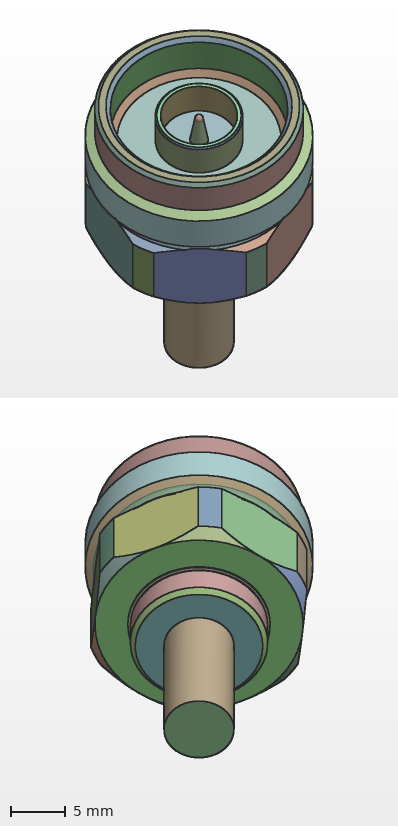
import cadquery as cq
import math

total_height = 32.8
max_radius = 10.4

crimp_radius = 3.2
collar_bottom = 12.95

collar_radius = 6.27
collar_bottom_chamfer_width = 0.45
collar_bottom_chamfer_height = 0.5
collar_top_chamfer = 0.12

hex_across_flats = 19.0
hex_radius = hex_across_flats / 2
hex_bottom = 16.32
hex_bottom_chamfer_width = max_radius - hex_radius
hex_bottom_chamfer_height = 0.95
hex_top_edge = 23.35
hex_top_chamfer_height = 0.4
hex_top_chamfer_width = 0.8

lip_radius = 6.5
lip_bottom = hex_bottom - 0.1

groove_bottom = hex_top_edge + hex_top_chamfer_height
groove_bottom_radius = max_radius - hex_top_chamfer_width
groove_root = 24.25
groove_top = 24.8
groove_top_radius = 9.7
groove_root_radius = 9.35

flange_bottom = 25.2
flange_top = 28.8
sleeve_radius = 9.53
sleeve_bottom = 29.3
sleeve_outer_chamfer = 0.35

socket_radius = 8.1
socket_mouth_chamfer = 0.4
socket_depth = 4.65
socket_floor_chamfer = 0.6
socket_floor = total_height - socket_depth

ring_outer_radius = 4.0
ring_inner_radius = 3.5
ring_top = 31.55
ring_chamfer = 0.15

pin_base_radius = 0.84
pin_tip_radius = 0.38
pin_cone_top = 31.13


def groove_arc_middle():
    """Middle point of the groove arc, which leaves the root parallel to the axis."""
    rise = groove_top - groove_root
    spread = groove_top_radius - groove_root_radius
    arc_radius = (rise ** 2 + spread ** 2) / (2 * spread)
    half_angle = math.asin(rise / arc_radius) / 2
    return (
        groove_root_radius + arc_radius * (1 - math.cos(half_angle)),
        groove_root + arc_radius * math.sin(half_angle),
    )


def make_body():
    """Turned outline of the whole outside, with the hexagon zone still round."""
    profile = (
        cq.Workplane("XZ")
        .lineTo(crimp_radius, 0)
        .lineTo(crimp_radius, collar_bottom)
        .lineTo(collar_radius - collar_bottom_chamfer_width, collar_bottom)
        .lineTo(collar_radius, collar_bottom + collar_bottom_chamfer_height)
        .lineTo(collar_radius, lip_bottom - collar_top_chamfer)
        .lineTo(collar_radius - collar_top_chamfer, lip_bottom)
        .lineTo(lip_radius, lip_bottom)
        .lineTo(lip_radius, hex_bottom)
        .lineTo(max_radius - hex_bottom_chamfer_width, hex_bottom)
        .lineTo(max_radius, hex_bottom + hex_bottom_chamfer_height)
        .lineTo(max_radius, hex_top_edge)
        .lineTo(groove_bottom_radius, groove_bottom)
        .lineTo(groove_root_radius, groove_root)
        .threePointArc(groove_arc_middle(), (groove_top_radius, groove_top))
        .lineTo(max_radius, flange_bottom)
        .lineTo(max_radius, flange_top)
        .lineTo(sleeve_radius, sleeve_bottom)
        .lineTo(sleeve_radius, total_height - sleeve_outer_chamfer)
        .lineTo(sleeve_radius - sleeve_outer_chamfer, total_height)
        .lineTo(0, total_height)
        .close()
    )
    return profile.revolve(360, (0, 0, 0), (0, 1, 0))


def cut_hex_flats(body):
    """Mill six flats, two of them facing +X and -X."""
    cutter_depth = max_radius
    cutter_width = 2 * max_radius
    cutter = cq.Workplane("XY").box(
        cutter_depth, cutter_width, groove_root - hex_bottom, centered=(False, True, False)
    ).translate((hex_radius, 0, hex_bottom))
    for index in range(6):
        body = body.cut(cutter.rotate((0, 0, 0), (0, 0, 1), index * 60))
    return body


def make_socket():
    """Space inside the sleeve, with a bevelled mouth and a bevelled floor."""
    profile = (
        cq.Workplane("XZ")
        .moveTo(0, socket_floor)
        .lineTo(socket_radius - socket_floor_chamfer, socket_floor)
        .lineTo(socket_radius, socket_floor + socket_floor_chamfer)
        .lineTo(socket_radius, total_height - socket_mouth_chamfer)
        .lineTo(socket_radius + socket_mouth_chamfer, total_height)
        .lineTo(0, total_height)
        .close()
    )
    return profile.revolve(360, (0, 0, 0), (0, 1, 0))


def make_contact_ring():
    """Thin ring with its top outer edge chamfered."""
    ring_height = ring_top - socket_floor
    return (
        cq.Workplane("XY")
        .workplane(offset=socket_floor)
        .circle(ring_outer_radius)
        .extrude(ring_height)
        .faces(">Z")
        .chamfer(ring_chamfer)
        .faces(">Z")
        .workplane()
        .circle(ring_inner_radius)
        .cutBlind(-ring_height)
    )


def make_pin():
    """Tapered pin with a hemispherical tip."""
    tip_shoulder = pin_tip_radius * math.sin(math.radians(45))
    profile = (
        cq.Workplane("XZ")
        .moveTo(0, socket_floor)
        .lineTo(pin_base_radius, socket_floor)
        .lineTo(pin_tip_radius, pin_cone_top)
        .threePointArc(
            (tip_shoulder, pin_cone_top + tip_shoulder),
            (0, pin_cone_top + pin_tip_radius),
        )
        .close()
    )
    return profile.revolve(360, (0, 0, 0), (0, 1, 0))


body = cut_hex_flats(make_body())
body = body.cut(make_socket())
result = body.union(make_contact_ring()).union(make_pin())